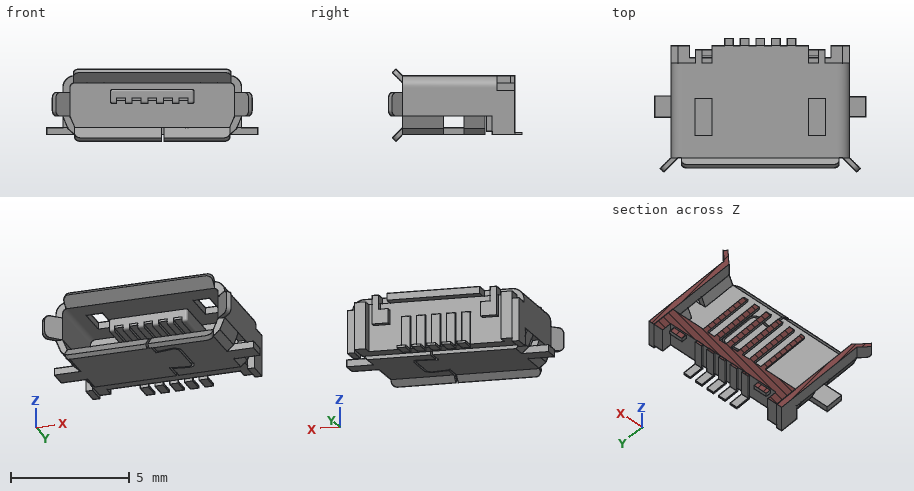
import cadquery as cq


SIDES = (-1, 1)

sheet = 0.3
half_width = 3.78
height = 2.495
corner_radius = 0.51
shell_depth = 4.74
roof_depth = 4.0
roof_side_edge = 1.87
floor_depth = 3.48
wall_bottom = 0.78
kink_half_width = 3.56
kink_height = 0.26
floor_half_width = 3.27
leg_front = 3.79
inner_half_width = half_width - sheet
inner_height = height - sheet
inner_radius = corner_radius - sheet

lip_tip_radius = 0.25
roof_lip_width = 6.665
floor_lip_width = 6.56
side_lip_width = 1.01
overall_height = 3.06
short_lip_rise = (overall_height - height) / 2
side_lip_rise = 0.445

window_inner, window_outer = 2.03, 2.76
window_front, window_back = 0.95, 2.5
flap_half_width = 2.04
strip_inner, strip_outer = 2.46, 2.74
strip_back = 4.57
clip_top = 1.87
clip_bottom = 1.25
clip_thickness = 0.28
foot_reach = 4.455
foot_center = 2.165
foot_widths = {-1: 0.91, 1: 0.855}

seam_gap = 0.1
seam_x = 0.39
seam_neck_y = 0.93
seam_head_x = 1.41
seam_head_y = 0.76
seam_head_radius = 0.22

insulator_front = 3.54
insulator_back = 4.24
insulator_bottom = 0.14
pillar_inner = 2.985
tongue_half_width = 1.76
tongue_bottom, tongue_top = 1.31, 1.92
tongue_front = 1.0
tongue_round = 0.1

contact_count = 5
contact_pitch = 0.66
contact_width = 0.37
contact_thickness = 0.1
contact_top = 1.54
contact_back = 5.05
contact_xs = [(i - (contact_count - 1) / 2) * contact_pitch for i in range(contact_count)]


def box(x_range, y_range, z_range):
    """Box spanning the given ranges."""
    size = [end - start for start, end in (x_range, y_range, z_range)]
    return cq.Workplane("XY").box(*size, centered=False).translate((x_range[0], y_range[0], z_range[0]))


def mirrored_box(side, x_inner, x_outer, y_range, z_range):
    """Box on the left (-1) or right (+1) side, given by its distances from the middle."""
    return box(sorted((side * x_inner, side * x_outer)), y_range, z_range)


def tunnel(wall_half_width, top, radius, lower_points, depth):
    """Solid with the shell's cross-section: round top corners and sloping lower sides."""
    right = [(wall_half_width, top), (wall_half_width, wall_bottom)] + lower_points
    left = [(-x, z) for x, z in reversed(right)]
    solid = cq.Workplane("XZ").polyline(right + left).close().extrude(-depth)
    return solid.edges("|Y and >Z").fillet(radius)


def inner_tunnel(depth):
    """The space inside the folded sheet."""
    return tunnel(inner_half_width, inner_height, inner_radius, [(floor_half_width, sheet)], depth)


def lip(width, rise, turn, offset):
    """Lip flared outward at 45 degrees, turned about Y from the roof position and moved to its wall."""
    half_sheet = sheet / 2
    section = [(0, 0), (-rise, rise), (-rise - half_sheet, rise - half_sheet), (0, -sheet)]
    plate = cq.Workplane("YZ").polyline(section).close().extrude(width / 2, both=True)
    plate = plate.edges(cq.ParallelDirSelector(cq.Vector(0, 1, 1))).fillet(lip_tip_radius)
    return plate.rotate((0, 0, 0), (0, 1, 0), turn).translate(offset)


def floor_seam():
    """Narrow dovetail gap where the two edges of the folded sheet meet in the floor."""
    beyond = 2 * shell_depth
    neck = seam_x - seam_head_radius
    head = seam_head_x - seam_head_radius
    front_half = [(neck, -beyond), (neck, seam_neck_y + seam_head_radius),
                  (head, seam_head_y + seam_head_radius)]
    back_half = [(x, floor_depth - y) for x, y in reversed(front_half)]
    outline = front_half + back_half + [(-beyond, floor_depth + beyond), (-beyond, -beyond)]

    def grown(distance):
        plate = cq.Workplane("XY").polyline(outline).close().offset2D(distance, "arc")
        return plate.extrude(2 * sheet).translate((0, 0, -sheet))

    return grown(seam_head_radius + seam_gap).cut(grown(seam_head_radius))


def make_shell():
    lower_outside = [(kink_half_width, kink_height), (floor_half_width, 0)]
    body = tunnel(half_width, height, corner_radius, lower_outside, roof_depth)
    body = body.cut(inner_tunnel(roof_depth))

    across = (-half_width, half_width)
    body = body.cut(box(across, (floor_depth, roof_depth), (0, wall_bottom)))

    flap_xs = (-flap_half_width, flap_half_width)
    body = body.union(box(flap_xs, (roof_depth, shell_depth), (inner_height, height)))

    for side in SIDES:
        side_wall = (side, inner_half_width, half_width)
        body = body.union(mirrored_box(*side_wall, (roof_depth, shell_depth), (wall_bottom, roof_side_edge)))
        body = body.union(mirrored_box(*side_wall, (leg_front, shell_depth), (0, wall_bottom)))

        clip_ys = (strip_back - clip_thickness, strip_back)
        strip = (side, strip_inner, strip_outer)
        body = body.union(mirrored_box(*strip, (roof_depth, strip_back), (inner_height, height)))
        body = body.union(mirrored_box(*strip, clip_ys, (clip_bottom, inner_height)))
        body = body.union(mirrored_box(side, flap_half_width, strip_inner, clip_ys, (clip_bottom, clip_top)))

        window_ys = (window_front, window_back)
        body = body.cut(mirrored_box(side, window_inner, window_outer, window_ys, (inner_height, height)))

        foot_ys = (foot_center - foot_widths[side] / 2, foot_center + foot_widths[side] / 2)
        body = body.cut(mirrored_box(side, floor_half_width, half_width, foot_ys, (sheet, wall_bottom)))
        body = body.union(mirrored_box(side, floor_half_width - sheet, foot_reach, foot_ys, (0, sheet)))

        side_lip_z = wall_bottom + side_lip_width / 2
        body = body.union(lip(side_lip_width, side_lip_rise, side * 90, (side * half_width, 0, side_lip_z)))

    body = body.union(lip(roof_lip_width, short_lip_rise, 0, (0, 0, height)))
    body = body.union(lip(floor_lip_width, short_lip_rise, 180, (0, 0, 0)))
    return body.cut(floor_seam())


def make_tongue():
    """Rounded tongue, reaching into the block behind it."""
    tongue_xs = (-tongue_half_width, tongue_half_width)
    tongue = box(tongue_xs, (tongue_front, insulator_front), (tongue_bottom, tongue_top))
    return tongue.edges("|Y or <Y").fillet(tongue_round)


def make_insulator():
    block_xs = (-inner_half_width, inner_half_width)
    block_zs = (insulator_bottom, inner_height)
    front_block = box(block_xs, (insulator_front, roof_depth), block_zs)
    front_block = front_block.edges("|Y and >Z").fillet(inner_radius)
    body = front_block.union(box(block_xs, (roof_depth, insulator_back), block_zs))
    for side in SIDES:
        pillar_ys = (insulator_back, shell_depth)
        body = body.union(mirrored_box(side, pillar_inner, inner_half_width, pillar_ys, block_zs))
    body = body.union(make_tongue())

    for x in contact_xs:
        groove_xs = (x - contact_width / 2, x + contact_width / 2)
        body = body.cut(box(groove_xs, (tongue_front, insulator_front), (tongue_bottom, contact_top)))
        slot_zs = (contact_top - contact_thickness, contact_top)
        body = body.cut(box(groove_xs, (insulator_front, insulator_back), slot_zs))
    return body


def make_contact(x):
    """Contact strip: beam under the tongue, drop behind the insulator, foot on the board."""
    drop_back = insulator_back + contact_thickness
    beam_bottom = contact_top - contact_thickness
    profile = [
        (tongue_front, contact_top),
        (drop_back, contact_top),
        (drop_back, contact_thickness),
        (contact_back, contact_thickness),
        (contact_back, 0),
        (insulator_back, 0),
        (insulator_back, beam_bottom),
        (tongue_front, beam_bottom),
    ]
    strip = cq.Workplane("YZ").polyline(profile).close().extrude(contact_width / 2, both=True)
    return strip.translate((x, 0, 0))


shell = make_shell()
insulator = make_insulator()
contacts = [make_contact(x) for x in contact_xs]

result = cq.Compound.makeCompound(
    [shell.val(), insulator.val(), *[contact.val() for contact in contacts]]
)